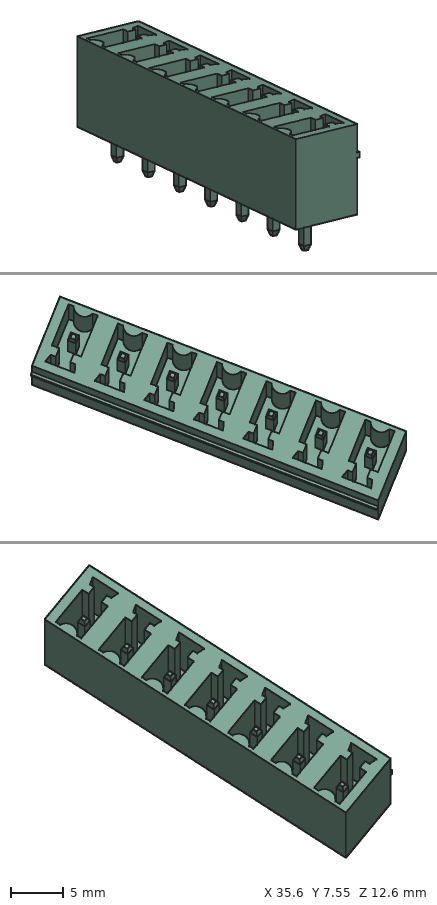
import cadquery as cq

positions = 7
pitch = 5.08
housing_length = positions * pitch
housing_depth = 7.25
housing_height = 9.2

rib_projection = 0.3
rib_height = 0.55
rib_bottom = 5.75

floor_thickness = 2.0
cavity_width = 3.0
cavity_front = 0.4
shoulder_y = 4.7
neck_width = 1.5
neck_end_y = 5.6
dovetail_end_y = 6.4
dovetail_root_width = 2.5

key_radius = 1.05

pin_width = 0.85
pin_tip_width = 0.45
pin_taper = 0.6
pin_y = 2.9
pin_bottom = -3.4
pin_top = 7.8

pin_xs = [(i - (positions - 1) / 2) * pitch for i in range(positions)]


def make_housing():
    block = cq.Workplane("XY").box(
        housing_length, housing_depth, housing_height, centered=(True, False, False)
    )
    rib = (
        cq.Workplane("XY")
        .box(housing_length, 2 * rib_projection, rib_height, centered=(True, True, False))
        .translate((0, housing_depth, rib_bottom))
    )
    return block.union(rib)


def make_cavity():
    """Plug space at X = 0: wide chamber, narrow neck and dovetail, less the rounded key."""
    half_chamber = cavity_width / 2
    half_neck = neck_width / 2
    half_root = dovetail_root_width / 2
    right_side = [
        (half_chamber, cavity_front),
        (half_chamber, shoulder_y),
        (half_neck, shoulder_y),
        (half_neck, neck_end_y),
        (half_root, neck_end_y),
        (half_chamber, dovetail_end_y),
    ]
    left_side = [(-x, y) for x, y in reversed(right_side)]
    depth = housing_height - floor_thickness
    base = cq.Workplane("XY", origin=(0, 0, floor_thickness))
    space = base.polyline(right_side + left_side).close().extrude(depth)
    key = base.circle(key_radius).extrude(depth)
    return space.cut(key)


def make_pin():
    """Contact pin at X = 0, a straight shank between two tapered tips."""
    shank_bottom = pin_bottom + pin_taper
    shank_top = pin_top - pin_taper
    shank = (
        cq.Workplane("XY", origin=(0, pin_y, shank_bottom))
        .rect(pin_width, pin_width)
        .extrude(shank_top - shank_bottom)
    )
    for shank_end, tip_offset in ((shank_bottom, -pin_taper), (shank_top, pin_taper)):
        tip = (
            cq.Workplane("XY", origin=(0, pin_y, shank_end))
            .rect(pin_width, pin_width)
            .workplane(offset=tip_offset)
            .rect(pin_tip_width, pin_tip_width)
            .loft()
        )
        shank = shank.union(tip)
    return shank


result = make_housing()
cavity = make_cavity()
pin = make_pin()
for pin_x in pin_xs:
    result = result.cut(cavity.translate((pin_x, 0, 0)))
    result = result.union(pin.translate((pin_x, 0, 0)))